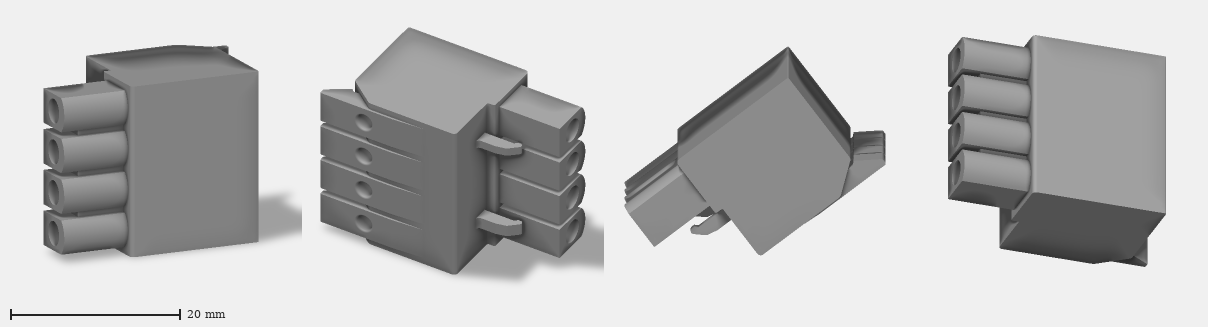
import cadquery as cq
import math


HOUSING_WIDTH = 15.13
HOUSING_LENGTH = 16.7
HOUSING_HEIGHT = 20.87
STEP_X = 7.3
STEP_DEPTH = 1.0
SLOPE_WIDTH = 2.9
SLOPE_LENGTH = 3.73
SLOPE_SIDE_RADIUS = 1.0
SLOPE_BACK_RADIUS = 0.5
FRONT_CORNER_RADIUS = 0.5
BACK_CORNER_RADIUS = 0.2
STEP_INNER_RADIUS = 0.2
STEP_OUTER_RADIUS = 0.22

POLE_COUNT = 4
POLE_PITCH = 5.0
POLE_HEIGHTS = [
    HOUSING_HEIGHT / 2 + (i - (POLE_COUNT - 1) / 2) * POLE_PITCH for i in range(POLE_COUNT)
]

PLUG_LENGTH = 8.3
PLUG_HEIGHT = 4.18
PLUG_LEFT = 8.35
PLUG_FLAT_WIDTH = 5.0
PLUG_BULGE = 0.86
PLUG_HOLE_X = 11.25
PLUG_HOLE_DIAMETER = 3.0
PLUG_HOLE_DEPTH = PLUG_LENGTH

WEB_WIDTH = PLUG_HOLE_DIAMETER
WEB_LENGTH = 5.82

LEVER_HEIGHT = 4.12
LEVER_PROUD = 0.28
LEVER_OVERHANG = 2.87
LEVER_END_Y = 5.4
LEVER_TAPER_Y = 9.67
LEVER_TIP_RIGHT = 0.47
LEVER_TIP_RADIUS = 0.22
LEVER_NOSE_X = 2.37
LEVER_NECK_X = 1.98
LEVER_HOLE_Y = 13.52
LEVER_HOLE_DIAMETER = 2.12
LEVER_HOLE_RIM = 0.22
LEVER_HOLE_DEPTH = 3.35

HOOK_LEFT = 5.02
HOOK_RIGHT = 6.63
HOOK_ROOT_RADIUS = 0.5
HOOK_INNER_ROOT_RADIUS = 0.15
HOOK_BEND_Y = -1.45
HOOK_KNEE_X = 5.3
HOOK_KNEE_Y = -2.85
HOOK_KNEE_RADIUS = 0.5
HOOK_TIP_Y = -4.12
HOOK_TIP_RADIUS = 0.35
HOOK_BARB_X = 7.0
HOOK_BARB_Y = -3.07
HOOK_SPANS = [(3.93, 1.53), (15.85, 1.05)]


def round_corner(solid, x, y, radius):
    """Fillet the vertical edge that passes through (x, y)."""
    reach = 0.003
    corner = cq.selectors.BoxSelector(
        (x - reach, y - reach, -HOUSING_HEIGHT), (x + reach, y + reach, 2 * HOUSING_HEIGHT)
    )
    return solid.edges("|Z").edges(corner).fillet(radius)


def make_housing():
    slope_start_y = HOUSING_LENGTH - SLOPE_LENGTH
    corners = [
        (0, STEP_DEPTH, FRONT_CORNER_RADIUS),
        (STEP_X, STEP_DEPTH, STEP_INNER_RADIUS),
        (STEP_X, 0, STEP_OUTER_RADIUS),
        (HOUSING_WIDTH, 0, FRONT_CORNER_RADIUS),
        (HOUSING_WIDTH, HOUSING_LENGTH, BACK_CORNER_RADIUS),
        (SLOPE_WIDTH, HOUSING_LENGTH, SLOPE_BACK_RADIUS),
        (0, slope_start_y, SLOPE_SIDE_RADIUS),
    ]
    outline = [(x, y) for x, y, _ in corners]
    housing = cq.Workplane("XY").polyline(outline).close().extrude(HOUSING_HEIGHT)
    for x, y, radius in corners:
        housing = round_corner(housing, x, y, radius)
    return housing


def make_plug(center_z):
    half_height = PLUG_HEIGHT / 2
    flat_end = PLUG_LEFT + PLUG_FLAT_WIDTH
    return (
        cq.Workplane("XZ")
        .moveTo(PLUG_LEFT, center_z - half_height)
        .lineTo(flat_end, center_z - half_height)
        .threePointArc((flat_end + PLUG_BULGE, center_z), (flat_end, center_z + half_height))
        .lineTo(PLUG_LEFT, center_z + half_height)
        .close()
        .extrude(PLUG_LENGTH)
    )


def make_plug_hole(center_z):
    return (
        cq.Workplane("XZ", origin=(0, -PLUG_LENGTH, 0))
        .center(PLUG_HOLE_X, center_z)
        .circle(PLUG_HOLE_DIAMETER / 2)
        .extrude(-PLUG_HOLE_DEPTH)
    )


def make_webs():
    """One bar through all the plugs; only the gaps between them show it."""
    bar_height = POLE_HEIGHTS[-1] - POLE_HEIGHTS[0]
    return (
        cq.Workplane("XY", origin=(PLUG_HOLE_X, -WEB_LENGTH / 2, POLE_HEIGHTS[0]))
        .rect(WEB_WIDTH, WEB_LENGTH)
        .extrude(bar_height)
    )


def make_lever(center_z):
    top_y = HOUSING_LENGTH + LEVER_OVERHANG
    nose_drop = LEVER_NOSE_X - LEVER_NECK_X
    outline = [
        (0, LEVER_END_Y),
        (-LEVER_PROUD, LEVER_TAPER_Y),
        (-LEVER_PROUD, top_y),
        (LEVER_TIP_RIGHT, top_y),
        (LEVER_NOSE_X, HOUSING_LENGTH),
        (LEVER_NECK_X, HOUSING_LENGTH - nose_drop),
        (LEVER_NECK_X, LEVER_END_Y),
    ]
    lever = (
        cq.Workplane("XY", origin=(0, 0, center_z - LEVER_HEIGHT / 2))
        .polyline(outline)
        .close()
        .extrude(LEVER_HEIGHT)
    )
    for x in (-LEVER_PROUD, LEVER_TIP_RIGHT):
        lever = round_corner(lever, x, top_y, LEVER_TIP_RADIUS)
    return lever


def make_lever_hole(center_z):
    """Blind round hole along X whose mouth flares out with a rounded rim."""
    radius = LEVER_HOLE_DIAMETER / 2
    mouth_radius = radius + LEVER_HOLE_RIM
    rim_mid = LEVER_HOLE_RIM * math.sqrt(0.5)
    mouth = cq.Plane(origin=(-LEVER_PROUD, LEVER_HOLE_Y, center_z), xDir=(0, 1, 0), normal=(0, 0, -1))
    return (
        cq.Workplane(mouth)
        .lineTo(mouth_radius, 0)
        .threePointArc((mouth_radius - rim_mid, LEVER_HOLE_RIM - rim_mid), (radius, LEVER_HOLE_RIM))
        .lineTo(radius, LEVER_HOLE_DEPTH)
        .lineTo(0, LEVER_HOLE_DEPTH)
        .close()
        .revolve(360, (0, 0), (0, 1))
    )


def make_hook(bottom_z, height):
    tip_x = HOOK_BARB_X - HOOK_TIP_RADIUS
    tip_y = HOOK_TIP_Y + HOOK_TIP_RADIUS
    tip_diagonal = HOOK_TIP_RADIUS * math.sqrt(0.5)
    barb_width = HOOK_BARB_X - HOOK_RIGHT
    pad_left = HOOK_LEFT - 2 * HOOK_ROOT_RADIUS
    pad_right = HOOK_RIGHT + 2 * HOOK_INNER_ROOT_RADIUS
    pad_back_y = STEP_DEPTH + HOOK_ROOT_RADIUS
    hook = (
        cq.Workplane("XY", origin=(0, 0, bottom_z))
        .moveTo(pad_left, pad_back_y)
        .lineTo(pad_left, STEP_DEPTH)
        .lineTo(HOOK_LEFT, STEP_DEPTH)
        .lineTo(HOOK_LEFT, HOOK_BEND_Y)
        .lineTo(HOOK_KNEE_X, HOOK_KNEE_Y)
        .lineTo(tip_x - tip_diagonal, tip_y - tip_diagonal)
        .threePointArc((tip_x + tip_diagonal, tip_y - tip_diagonal), (HOOK_BARB_X, tip_y))
        .lineTo(HOOK_BARB_X, HOOK_BARB_Y - barb_width)
        .lineTo(HOOK_RIGHT, HOOK_BARB_Y)
        .lineTo(HOOK_RIGHT, STEP_DEPTH)
        .lineTo(pad_right, STEP_DEPTH)
        .lineTo(pad_right, pad_back_y)
        .close()
        .extrude(height)
    )
    hook = round_corner(hook, HOOK_LEFT, STEP_DEPTH, HOOK_ROOT_RADIUS)
    hook = round_corner(hook, HOOK_RIGHT, STEP_DEPTH, HOOK_INNER_ROOT_RADIUS)
    return round_corner(hook, HOOK_KNEE_X, HOOK_KNEE_Y, HOOK_KNEE_RADIUS)


result = make_housing().union(make_webs())
for pole_z in POLE_HEIGHTS:
    result = result.union(make_plug(pole_z)).union(make_lever(pole_z))
for hook_z, hook_height in HOOK_SPANS:
    result = result.union(make_hook(hook_z, hook_height))
for pole_z in POLE_HEIGHTS:
    result = result.cut(make_plug_hole(pole_z)).cut(make_lever_hole(pole_z))